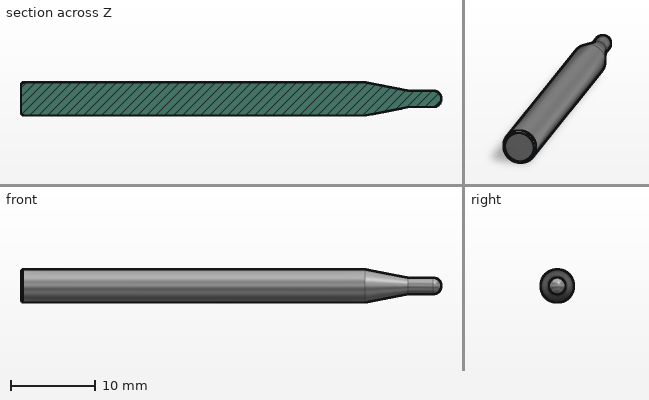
import cadquery as cq

total_length = 50.0
shank_diameter = 4.0
shank_end = 40.9
taper_end = 46.0
neck_diameter = 2.0
end_chamfer = 0.25

shank_radius = shank_diameter / 2
neck_radius = neck_diameter / 2

tip_center = total_length - neck_radius
tip_diagonal = neck_radius / 2**0.5

half_section = (
    cq.Workplane("XY")
    .moveTo(0, 0)
    .lineTo(0, shank_radius - end_chamfer)
    .lineTo(end_chamfer, shank_radius)
    .lineTo(shank_end, shank_radius)
    .lineTo(taper_end, neck_radius)
    .lineTo(tip_center, neck_radius)
    .threePointArc((tip_center + tip_diagonal, tip_diagonal), (total_length, 0))
    .close()
)

result = half_section.revolve(360, (0, 0, 0), (1, 0, 0))